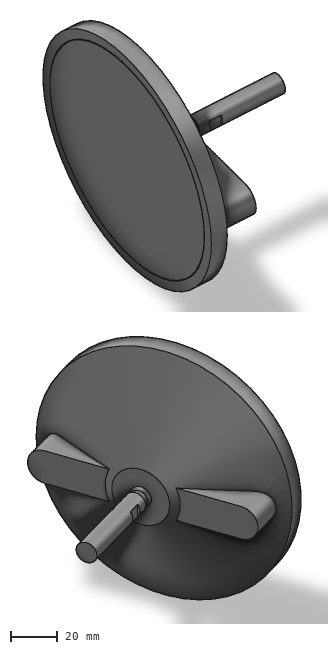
import cadquery as cq
import math

total_depth = 80.0

rim_radius = 62.0
rim_depth = 8.4
cone_end_radius = 14.0
cone_end_y = 30.0

groove_outer_diameter = 114.0
groove_inner_diameter = 113.5
groove_depth = 0.6

bar_length = 111.6
bar_height = 16.5
bar_end_y = 28.1

ball_radius = 12.5 / 2
neck_diameter = 7.8
neck_start_y = 31.4
stud_diameter = 10.0
stud_start_y = 35.0
flat_start_y = 40.2
flat_length = 6.7


def cylinder_y(diameter, start_y, end_y):
    """Cylinder on the Y axis between two Y positions."""
    plane = cq.Workplane("XZ", origin=(0, start_y, 0))
    return plane.circle(diameter / 2).extrude(start_y - end_y)


def make_disc():
    profile = [
        (0, 0),
        (rim_radius, 0),
        (rim_radius, rim_depth),
        (cone_end_radius, cone_end_y),
        (0, cone_end_y),
    ]
    return cq.Workplane("XY").polyline(profile).close().revolve(360, (0, 0, 0), (0, 1, 0))


def make_bar():
    plane = cq.Workplane("XZ", origin=(0, rim_depth, 0))
    return plane.slot2D(bar_length, bar_height).extrude(rim_depth - bar_end_y)


def make_groove():
    outer = cylinder_y(groove_outer_diameter, 0, groove_depth)
    return outer.cut(cylinder_y(groove_inner_diameter, 0, groove_depth))


def make_stud():
    ball_y = neck_start_y - math.sqrt(ball_radius**2 - (neck_diameter / 2) ** 2)
    ball = cq.Workplane("XY").sphere(ball_radius).translate((0, ball_y, 0))
    neck = cylinder_y(neck_diameter, ball_y, stud_start_y)
    shank = cylinder_y(stud_diameter, stud_start_y, total_depth)

    for side in (-1, 1):
        cutter = cq.Workplane("XY").box(stud_diameter, flat_length, stud_diameter)
        cutter_x = side * (neck_diameter + stud_diameter) / 2
        shank = shank.cut(cutter.translate((cutter_x, flat_start_y + flat_length / 2, 0)))
    return ball.union(neck).union(shank)


result = make_disc().union(make_bar()).union(make_stud()).cut(make_groove())